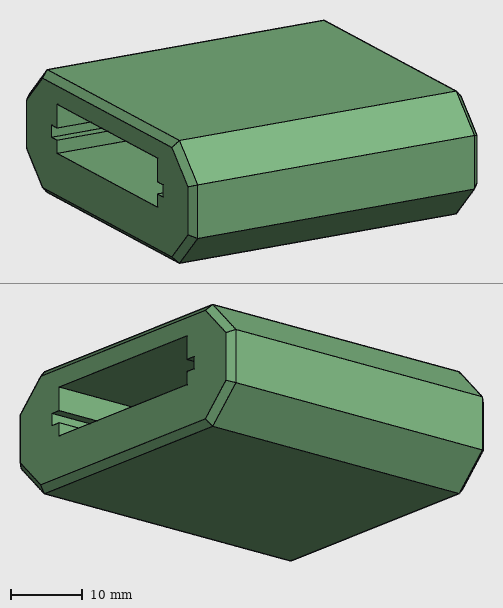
import cadquery as cq

width = 47.0
depth = 46.5
height = 18.0
corner_chamfer = 5.08
end_chamfer = 1.0

slot_width = 27.9
slot_height = 7.2
roof_thickness = 3.65
groove_depth = 1.55
groove_height = 1.8
groove_floor_offset = 1.95

slot_floor = height / 2 - roof_thickness - slot_height
slot_center = slot_floor + slot_height / 2
groove_center = slot_floor + groove_floor_offset + groove_height / 2


def make_body():
    """Box with chamfered long corners and chamfered rims at both ends."""
    body = cq.Workplane("XY").box(width, depth, height)
    body = body.edges("|Y").chamfer(corner_chamfer)
    return body.faces("<Y or >Y").edges().chamfer(end_chamfer)


def through_bar(bar_width, bar_height, center_z):
    """Rectangular cutter running the full depth of the body."""
    return cq.Workplane("XY").box(bar_width, depth, bar_height).translate((0, 0, center_z))


slot = through_bar(slot_width, slot_height, slot_center)
grooves = through_bar(slot_width + 2 * groove_depth, groove_height, groove_center)

result = make_body().cut(slot).cut(grooves)